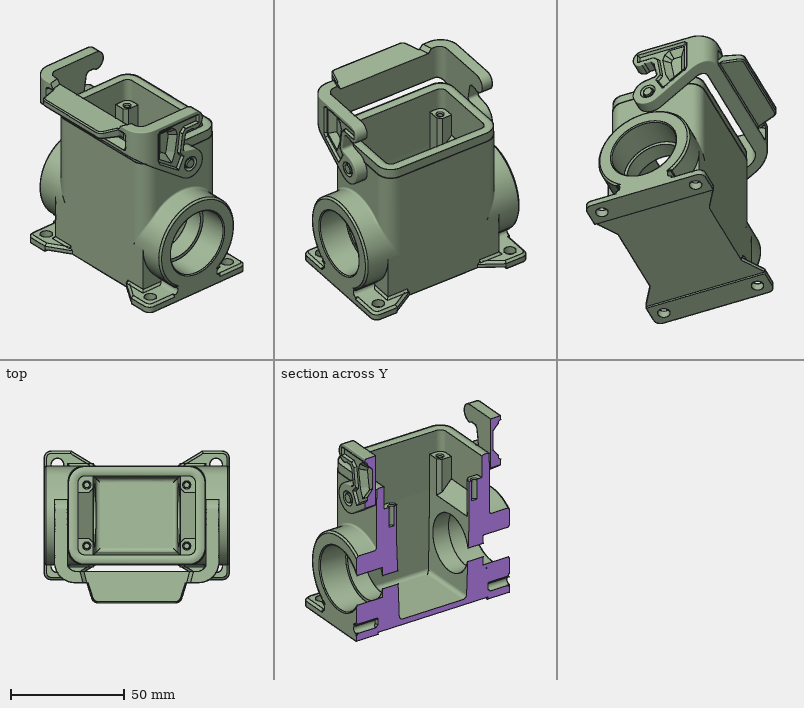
import cadquery as cq
import math

margin = 1.0
tolerance = 0.1

foot_half_x = 41.0
foot_half_y = 28.5
foot_height = 3.9
foot_corner_radius = 3.2
foot_edge_chamfer = 1.1
foot_pad_inner_x = 29.2
foot_wing_start_x = 29.0
foot_wing_end_x = 18.2
foot_hole_diameter = 5.5
foot_hole_x = 35.1
foot_hole_y = 22.5
foot_root_chamfer = 1.0

body_half_y = 21.9
body_bottom_z = 1.0
body_top_z = 73.5
lower_half_x = 29.6
upper_half_x = 30.35
body_corner_radius = 7.0
collar_height = 5.0
collar_step = 0.2
rim_drop = 0.5

entry_z = 25.5
entry_radius = body_half_y
entry_edge_chamfer = 0.9
entry_root_fillet = 0.9
entry_inner_x = 22.0
bore_radius = 13.9
thread_radius = 15.4
thread_mouth_radius = 15.9
thread_bottom_x = 27.0
neck_notch_radius = 1.9
neck_half_y = 13.3

cavity_half_x = 26.0
cavity_half_y = 17.45
cavity_corner_radius = 3.0
shoulder_top_z = 51.0
shoulder_bottom_z = 44.0
well_half_x = 19.3
well_floor_half_x = 17.8
well_floor_half_y = 16.2
well_floor_z = 4.0
well_floor_fillet = 1.7

post_inner_x = 19.3
post_inner_y = 10.2
post_corner_chamfer = 1.8
post_top_z = 62.2
post_hole_x = 22.1
post_hole_y = 13.5
post_hole_diameter = 2.5
post_hole_sink_diameter = 3.6
post_hole_depth = 10.0

lever_half_x = 36.35
lever_inner_x = 30.7
lever_top_z = 90.2
lever_front_y = -29.8
lever_bar_thickness = 5.0
lever_corner_radius = 9.0
lever_inner_corner_radius = 4.0
pivot_z = 64.5
pivot_boss_radius = 7.1
hook_y = 2.6
hook_radius = 4.5
hook_mouth_top_z = 82.0
hook_lip_y = 1.4
hook_mouth_top_y = -1.5
hook_mouth_shoulder = (-2.5, 81.2)
hook_mouth_back_top = (-3.0, 79.8)
hook_mouth_back_bottom = (-4.0, 74.0)
hook_mouth_heel = (-3.9, 73.0)
hook_mouth_end = (-3.1, 72.3)
boss_top_y = 1.2
lever_front_bottom_z = 76.9
pin_radius = 2.1
pin_inner_x = 28.0
pin_sink_radius = 3.5
pin_sink_bottom_radius = 2.5
pin_sink_depth = 1.0

grip_root_half_x = 22.1
grip_tip_half_x = 19.3
grip_tip_y = -38.75
grip_top_z = 88.1
grip_root_bottom_z = 83.6
grip_tip_bottom_z = 84.6
grip_corner_radius = 3.0
grip_edge_chamfer = 0.6
saddle_top_half_x = 23.8
saddle_flare = 1.3
lever_edge_fillet = 0.4
bar_pocket_half_x = 26.8
bar_pocket_bottom_z = 78.6
bar_pocket_top_z = 87.3
bar_pocket_depth = 3.0
bar_pocket_draft_deg = 38.0
bar_pocket_corner_radius = 1.2
grip_web_size = 1.8

side_recess_depth = 1.2
side_recess_draft_deg = 30.0
side_hollow_depth = 4.0
side_hollow_draft_deg = 45.0
side_recess_corners = [
    (4.9, 88.2),
    (-17.8, 88.2),
    (-18.8, 87.2),
    (-18.8, 73.0),
    (-17.8, 71.2),
    (-7.0, 63.9),
    (-3.9, 70.0),
    (-6.0, 72.5),
    (-4.7, 82.0),
    (-2.9, 83.9),
    (4.9, 83.9),
]
side_hollow_corners = [
    (-9.5, 87.8),
    (-17.5, 87.8),
    (-18.5, 86.8),
    (-18.5, 72.5),
    (-9.5, 66.5),
    (-7.0, 72.5),
    (-5.5, 82.0),
    (-6.7, 85.5),
]


def both_sides(solid):
    """The left-hand solid together with its mirror image about the YZ plane."""
    return solid.union(solid.mirror("YZ"))


def box_between(x0, x1, y0, y1, z0, z1):
    return cq.Workplane("XY").box(x1 - x0, y1 - y0, z1 - z0, centered=False).translate((x0, y0, z0))


def cylinder_along_x(x0, x1, radius, y=0.0, z=0.0):
    return cq.Workplane("YZ", origin=(x0, y, z)).circle(radius).extrude(x1 - x0)


def cone(start, direction, start_radius, end_radius, length):
    solid = cq.Solid.makeCone(
        start_radius, end_radius, length, pnt=cq.Vector(*start), dir=cq.Vector(*direction)
    )
    return cq.Workplane("XY").add(solid)


def rounded_block(half_x, half_y, radius, z0, z1):
    base = cq.Workplane("XY").workplane(offset=z0)
    outline = base.sketch().rect(2 * half_x, 2 * half_y).vertices().fillet(radius).finalize()
    return outline.extrude(z1 - z0)


def foot():
    """Left-hand foot plate: outer pad plus wings that run into the long walls."""
    outline = [
        (-foot_half_x, -foot_half_y),
        (-foot_wing_start_x, -foot_half_y),
        (-foot_wing_end_x, -body_half_y),
        (-foot_wing_end_x, body_half_y),
        (-foot_wing_start_x, foot_half_y),
        (-foot_half_x, foot_half_y),
    ]
    plate = cq.Workplane("XY").polyline(outline).close().extrude(foot_height)
    plate = plate.edges("|Z and <X").fillet(foot_corner_radius)
    plate = plate.faces(">Z").edges().chamfer(foot_edge_chamfer)
    relief = box_between(-foot_pad_inner_x, 0, -foot_half_y, foot_half_y, 0, body_bottom_z)
    return plate.cut(relief)


def foot_roots():
    """Sloped bead where the left-hand foot meets the long walls and the end wall."""
    bead_half_x = lower_half_x + foot_root_chamfer
    bead_half_y = body_half_y + foot_root_chamfer
    bead = (
        cq.Workplane("XY", origin=(0, 0, foot_height))
        .rect(2 * bead_half_x, 2 * bead_half_y)
        .workplane(offset=foot_root_chamfer)
        .rect(2 * lower_half_x, 2 * body_half_y)
        .loft()
    )
    bead_end_x = foot_wing_end_x + foot_root_chamfer
    stretch = box_between(
        -bead_half_x, -bead_end_x, -bead_half_y, bead_half_y, foot_height, foot_height + foot_root_chamfer
    )
    return bead.intersect(stretch)


def foot_holes():
    spots = [(-foot_hole_x, -foot_hole_y), (-foot_hole_x, foot_hole_y)]
    return cq.Workplane("XY").pushPoints(spots).circle(foot_hole_diameter / 2).extrude(foot_height)


def body():
    lower = box_between(-lower_half_x, lower_half_x, -body_half_y, body_half_y, body_bottom_z, entry_z)
    collar_z = body_top_z - collar_height
    upper = rounded_block(upper_half_x, body_half_y, body_corner_radius, entry_z, collar_z)
    collar = rounded_block(
        upper_half_x - collar_step,
        body_half_y - collar_step,
        body_corner_radius,
        collar_z,
        body_top_z,
    )
    return lower.union(upper).union(collar)


def entry():
    """Left-hand cable entry drum and the neck that carries it on the foot."""
    drum = cylinder_along_x(-foot_half_x, -entry_inner_x, entry_radius, z=entry_z)
    drum = drum.faces("<X").edges().chamfer(entry_edge_chamfer)
    drum_bottom = box_between(-foot_half_x, -entry_inner_x, -entry_radius, entry_radius, 0, foot_height)
    drum = drum.cut(drum_bottom)
    notch_z = foot_height + neck_notch_radius
    neck_top_z = notch_z + neck_notch_radius
    neck = box_between(-foot_half_x, -entry_inner_x, -neck_half_y, neck_half_y, 0, neck_top_z)
    neck_relief = box_between(
        -foot_pad_inner_x, -entry_inner_x, -neck_half_y, neck_half_y, 0, body_bottom_z
    )
    neck = neck.cut(neck_relief).union(drum)
    for side in (-1, 1):
        notch = cylinder_along_x(
            -foot_half_x, -lower_half_x, neck_notch_radius, side * neck_half_y, notch_z
        )
        y0, y1 = sorted((side * neck_half_y, side * entry_radius))
        gap = box_between(-foot_half_x, -lower_half_x, y0, y1, foot_height, notch_z)
        neck = neck.cut(notch).cut(gap)
    return neck


def entry_bore():
    """Left-hand through bore with its wider outer stretch."""
    through = cylinder_along_x(-foot_half_x, 0, bore_radius, z=entry_z)
    thread = cylinder_along_x(-foot_half_x, -thread_bottom_x, thread_radius, z=entry_z)
    mouth_depth = thread_mouth_radius - thread_radius
    mouth = cone((-foot_half_x, 0, entry_z), (1, 0, 0), thread_mouth_radius, thread_radius, mouth_depth)
    return through.union(thread).union(mouth)


def cavity():
    """Plug opening, sloping shoulders at both ends and the narrower well below."""
    mouth = rounded_block(
        cavity_half_x, cavity_half_y, cavity_corner_radius, shoulder_bottom_z, body_top_z
    )
    shoulder = (
        cq.Workplane("XZ", origin=(0, cavity_half_y, 0))
        .moveTo(-well_half_x, shoulder_bottom_z)
        .lineTo(well_half_x, shoulder_bottom_z)
        .lineTo(cavity_half_x, shoulder_top_z)
        .lineTo(cavity_half_x, body_top_z)
        .lineTo(-cavity_half_x, body_top_z)
        .lineTo(-cavity_half_x, shoulder_top_z)
        .close()
        .extrude(2 * cavity_half_y)
    )
    mouth = mouth.intersect(shoulder)
    well = (
        cq.Workplane("XY", origin=(0, 0, well_floor_z))
        .rect(2 * well_floor_half_x, 2 * well_floor_half_y)
        .workplane(offset=shoulder_bottom_z - well_floor_z)
        .rect(2 * well_half_x, 2 * cavity_half_y)
        .loft()
        .faces("<Z").edges().fillet(well_floor_fillet)
    )
    return mouth.union(well)


def rim_crown():
    """Material above the crowned rim, carried once around the cavity mouth."""
    outer_offset = upper_half_x - collar_step - cavity_half_x
    rim_crest_offset = outer_offset / 2
    crown_radius = (rim_crest_offset**2 + rim_drop**2) / (2 * rim_drop)

    def surface_point(offset):
        below = crown_radius - math.sqrt(crown_radius**2 - (rim_crest_offset - offset) ** 2)
        return (-cavity_half_y - offset, body_top_z - below)

    path = rounded_block(
        cavity_half_x, cavity_half_y, cavity_corner_radius, body_top_z - rim_drop, body_top_z
    )
    path = path.faces(">Z").wires()
    section = (
        cq.Workplane("YZ")
        .moveTo(*surface_point(0))
        .threePointArc(surface_point(rim_crest_offset), surface_point(outer_offset))
        .lineTo(-cavity_half_y - outer_offset - margin, body_top_z + margin)
        .lineTo(-cavity_half_y, body_top_z + margin)
        .close()
    )
    return section.sweep(path)


def posts():
    """Four corner posts with countersunk screw holes."""
    post = box_between(
        -cavity_half_x - margin,
        -post_inner_x,
        post_inner_y,
        cavity_half_y + margin,
        shoulder_bottom_z,
        post_top_z,
    )
    post = post.edges("|Z and >X and <Y").chamfer(post_corner_chamfer)
    sink_depth = (post_hole_sink_diameter - post_hole_diameter) / 2
    hole = (
        cq.Workplane("XY", origin=(-post_hole_x, post_hole_y, post_top_z))
        .circle(post_hole_diameter / 2)
        .extrude(-post_hole_depth)
    )
    sink = cone(
        (-post_hole_x, post_hole_y, post_top_z),
        (0, 0, -1),
        post_hole_sink_diameter / 2,
        post_hole_diameter / 2,
        sink_depth,
    )
    post = post.cut(hole).cut(sink)
    pair = post.union(post.mirror("XZ"))
    return both_sides(pair)


def lever_side_profile():
    """Side outline of the lever as a YZ section through its whole width."""
    rise = lever_front_bottom_z - pivot_z
    reach = math.hypot(lever_front_y, rise)
    slope = math.atan2(rise, -lever_front_y) + math.asin(pivot_boss_radius / reach)
    tangent_y = -pivot_boss_radius * math.sin(slope)
    tangent_z = pivot_z - pivot_boss_radius * math.cos(slope)
    boss_top_z = pivot_z + math.sqrt(pivot_boss_radius**2 - boss_top_y**2)
    hook_z = lever_top_z - hook_radius
    outline = (
        cq.Workplane("YZ", origin=(-lever_half_x, 0, 0))
        .moveTo(lever_front_y, lever_top_z)
        .lineTo(hook_y, lever_top_z)
        .threePointArc((hook_y + hook_radius, hook_z), (hook_y, hook_z - hook_radius))
        .lineTo(hook_lip_y, hook_mouth_top_z)
        .lineTo(hook_mouth_top_y, hook_mouth_top_z)
        .threePointArc(hook_mouth_shoulder, hook_mouth_back_top)
        .lineTo(*hook_mouth_back_bottom)
        .threePointArc(hook_mouth_heel, hook_mouth_end)
        .lineTo(boss_top_y, boss_top_z)
        .threePointArc((pivot_boss_radius, pivot_z), (tangent_y, tangent_z))
        .lineTo(lever_front_y, lever_front_bottom_z)
        .close()
    )
    return outline.extrude(2 * lever_half_x)


def lever_plan():
    """U-shaped plan of the lever, tall enough to contain it."""
    back_y = 2 * pivot_boss_radius
    z0 = pivot_z - 2 * pivot_boss_radius

    def block(half_x, front_y, radius):
        solid = box_between(-half_x, half_x, front_y, back_y, z0, lever_top_z)
        return solid.edges("|Z and <Y").fillet(radius)

    outer = block(lever_half_x, lever_front_y, lever_corner_radius)
    bar_inner_y = lever_front_y + lever_bar_thickness
    return outer.cut(block(lever_inner_x, bar_inner_y, lever_inner_corner_radius))


def bar_saddle():
    """Lowered middle stretch of the cross bar, with sloping ends."""

    def section(flare):
        top_x = saddle_top_half_x + flare
        bottom_x = grip_root_half_x + flare
        return [
            (-top_x, lever_top_z),
            (top_x, lever_top_z),
            (bottom_x, grip_top_z),
            (-bottom_x, grip_top_z),
        ]

    return (
        cq.Workplane("XZ", origin=(0, lever_front_y, 0))
        .polyline(section(0))
        .close()
        .workplane(offset=-lever_bar_thickness)
        .polyline(section(saddle_flare))
        .close()
        .loft(ruled=True)
    )


def bar_pocket():
    """Pocket with sloping walls in the front face of the cross bar, below the grip."""
    height = bar_pocket_top_z - bar_pocket_bottom_z
    mid_z = (bar_pocket_top_z + bar_pocket_bottom_z) / 2
    return (
        cq.Workplane("XZ", origin=(0, lever_front_y, mid_z))
        .sketch()
        .rect(2 * bar_pocket_half_x, height)
        .vertices()
        .fillet(bar_pocket_corner_radius)
        .finalize()
        .extrude(-bar_pocket_depth, taper=bar_pocket_draft_deg)
    )


def grip():
    """Finger tab that reaches forward from the cross bar."""
    root_y = lever_front_y + lever_bar_thickness
    plan = (
        cq.Workplane("XY")
        .polyline([
            (-grip_root_half_x, root_y),
            (-grip_root_half_x, lever_front_y),
            (-grip_tip_half_x, grip_tip_y),
            (grip_tip_half_x, grip_tip_y),
            (grip_root_half_x, lever_front_y),
            (grip_root_half_x, root_y),
        ])
        .close()
        .extrude(lever_top_z)
        .edges("|Z and <Y")
        .fillet(grip_corner_radius)
    )
    section = (
        cq.Workplane("YZ", origin=(-grip_root_half_x, 0, 0))
        .polyline([
            (root_y, grip_root_bottom_z),
            (root_y, grip_top_z),
            (grip_tip_y, grip_top_z),
            (grip_tip_y, grip_tip_bottom_z),
            (lever_front_y, grip_root_bottom_z),
        ])
        .close()
        .extrude(2 * grip_root_half_x)
    )
    tab = plan.intersect(section)
    tip_edges = cq.selectors.BoxSelector(
        (-foot_half_x, grip_tip_y - margin, 0), (foot_half_x, lever_front_y - margin, lever_top_z)
    )
    return tab.edges("not |Z").edges(tip_edges).chamfer(grip_edge_chamfer)


def grip_web():
    floor_y = lever_front_y + bar_pocket_depth
    return (
        cq.Workplane("YZ", origin=(-grip_root_half_x, 0, 0))
        .moveTo(floor_y, grip_root_bottom_z)
        .lineTo(floor_y - grip_web_size, grip_root_bottom_z)
        .lineTo(floor_y, grip_root_bottom_z - grip_web_size)
        .close()
        .extrude(2 * grip_root_half_x)
    )


def side_recesses():
    """Sunken areas on the outer face of the left-hand lever arm."""
    face = cq.Workplane("YZ", origin=(-lever_half_x, 0, 0))
    recess = face.polyline(side_recess_corners).close()
    recess = recess.extrude(side_recess_depth, taper=side_recess_draft_deg)
    hollow = face.polyline(side_hollow_corners).close()
    hollow = hollow.extrude(side_hollow_depth, taper=side_hollow_draft_deg)
    return recess.union(hollow)


def pin_sink():
    start = (-lever_half_x, 0, pivot_z)
    return cone(start, (1, 0, 0), pin_sink_radius, pin_sink_bottom_radius, pin_sink_depth)


def lever():
    """Locking lever with the pivot pins that hang it on the housing."""
    solid = lever_side_profile().intersect(lever_plan())
    solid = solid.faces("<X or >X or <Y").edges().fillet(lever_edge_fillet)
    solid = solid.cut(bar_saddle()).cut(bar_pocket()).union(grip()).union(grip_web())
    solid = solid.cut(both_sides(side_recesses().union(pin_sink())))
    pin = cylinder_along_x(-lever_half_x, -pin_inner_x, pin_radius, z=pivot_z)
    return solid.union(both_sides(pin))


def housing():
    solid = body().union(both_sides(entry()))
    for x in (-upper_half_x, upper_half_x):
        root = cq.selectors.BoxSelector(
            (x - tolerance, -tolerance, entry_z + entry_radius / 2),
            (x + tolerance, tolerance, entry_z + entry_radius),
        )
        solid = solid.edges(root).fillet(entry_root_fillet)
    solid = solid.union(both_sides(foot().union(foot_roots())))
    solid = solid.cut(cavity().cut(posts()))
    solid = solid.cut(rim_crown())
    return solid.cut(both_sides(entry_bore())).cut(both_sides(foot_holes()))


result = housing().union(lever())